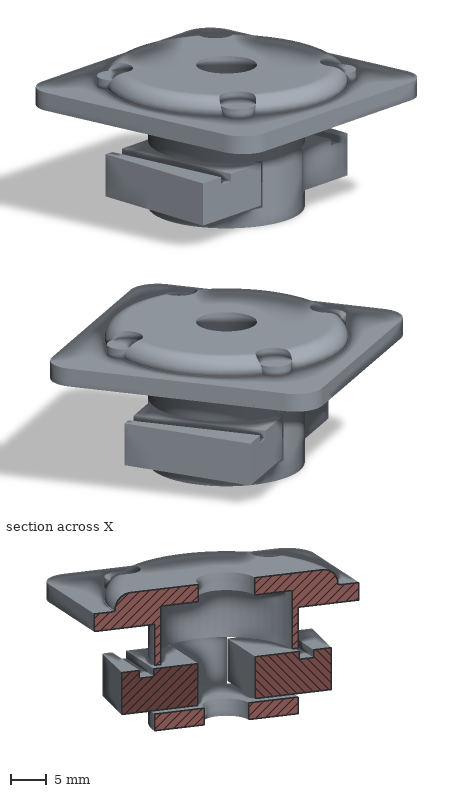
import cadquery as cq
import math

flange_side = 40.0
flange_thickness = 2.6
flange_corner_radius = 4.0

disc_top_diameter = 29.05
rim_radius = 2.4
lip_diameter = 34.3
lip_height = 0.1

pad_count = 4
pad_diameter = 5.0
recess_diameter = 5.1
pad_height = 1.4
pad_circle_radius = 15.6

barrel_diameter = 21.8
barrel_height = 15.4
window_width = 20.0
window_height = 7.0
window_bottom = 2.5

cavity_diameter = 19.8
roof_thickness = 2.55
roof_hole_diameter = 8.5
floor_hole_diameter = 6.65

jaw_count = 2
jaw_width = 19.5
jaw_height = 6.1
jaw_outer_reach = 17.1
jaw_end_slant = 2.5
jaw_hole_clearance = 0.1
groove_inner_reach = 11.0
groove_width = 2.1
groove_depth = 1.1

flange_top = barrel_height + flange_thickness
disc_height = lip_height + rim_radius
disc_top = flange_top + disc_height
disc_diameter = disc_top_diameter + 2 * rim_radius
jaw_bottom = window_bottom + (window_height - jaw_height) / 2
jaw_inner_reach = roof_hole_diameter / 2 + jaw_hole_clearance


def cylinder(diameter, bottom, height):
    """Vertical cylinder on the Z axis."""
    return cq.Workplane("XY").workplane(offset=bottom).circle(diameter / 2).extrude(height)


def make_flange():
    return (
        cq.Workplane("XY")
        .workplane(offset=barrel_height)
        .rect(flange_side, flange_side)
        .extrude(flange_thickness)
        .edges("|Z")
        .fillet(flange_corner_radius)
    )


def make_disc():
    """Disc with a rounded rim, on a thin lip that is slightly wider than the disc."""
    lip = cylinder(lip_diameter, flange_top, lip_height)
    rim_profile_middle = (
        disc_top_diameter / 2 + rim_radius * math.cos(math.pi / 4),
        flange_top + lip_height + rim_radius * math.sin(math.pi / 4),
    )
    dome = (
        cq.Workplane("XZ")
        .moveTo(0, flange_top)
        .lineTo(disc_diameter / 2, flange_top)
        .lineTo(disc_diameter / 2, flange_top + lip_height)
        .threePointArc(rim_profile_middle, (disc_top_diameter / 2, disc_top))
        .lineTo(0, disc_top)
        .close()
        .revolve(360, (0, 0, 0), (0, 1, 0))
    )
    return lip.union(dome)


def pad_cylinders(diameter, height):
    """Cylinders standing on the flange at the pad positions."""
    return (
        cq.Workplane("XY")
        .workplane(offset=flange_top)
        .polarArray(pad_circle_radius, 45, 360, pad_count)
        .circle(diameter / 2)
        .extrude(height)
    )


def make_window():
    return cq.Workplane("XY").box(
        window_width, barrel_diameter, window_height, centered=(True, True, False)
    ).translate((0, 0, window_bottom))


def make_hollow():
    """Inner cavity, level with the window bottom, and the holes in its roof and floor."""
    cavity_top = disc_top - roof_thickness
    cavity = cylinder(cavity_diameter, window_bottom, cavity_top - window_bottom)
    roof_hole = cylinder(roof_hole_diameter, cavity_top, roof_thickness)
    floor_hole = cylinder(floor_hole_diameter, 0, window_bottom)
    return cavity.union(roof_hole).union(floor_hole)


def make_housing():
    disc = make_disc().cut(pad_cylinders(recess_diameter, disc_height))
    pads = pad_cylinders(pad_diameter, pad_height)
    barrel = cylinder(barrel_diameter, 0, barrel_height).cut(make_window())
    return make_flange().union(disc).union(pads).union(barrel).cut(make_hollow())


def make_jaw(angle):
    """Block on the -Y side with a slanted outer end and a groove across its top, turned about Z."""
    half_width = jaw_width / 2
    block = (
        cq.Workplane("XY")
        .workplane(offset=jaw_bottom)
        .moveTo(-half_width, -jaw_inner_reach)
        .lineTo(half_width, -jaw_inner_reach)
        .lineTo(half_width, -jaw_outer_reach)
        .lineTo(-half_width, -jaw_outer_reach + jaw_end_slant)
        .close()
        .extrude(jaw_height)
    )
    groove = cq.Workplane("XY").box(
        jaw_width, groove_width, groove_depth, centered=(True, True, False)
    ).translate((0, -groove_inner_reach - groove_width / 2, jaw_bottom + jaw_height - groove_depth))
    return block.cut(groove).rotate((0, 0, 0), (0, 0, 1), angle)


housing = make_housing()
jaws = [make_jaw(index * 360 / jaw_count) for index in range(jaw_count)]

result = cq.Compound.makeCompound([housing.val(), *[jaw.val() for jaw in jaws]])